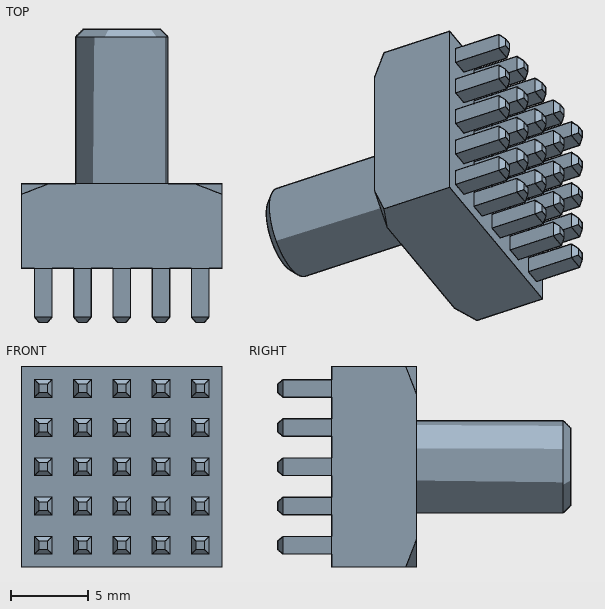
import cadquery as cq

body_width = 13.0
body_depth = 5.5

corner_cut_width = 1.8
corner_cut_depth = 0.7

stud_diameter = 6.0
stud_length = 10.0
stud_chamfer = 0.5

pin_count = 5
pin_pitch = 2.54
pin_width = 1.15
pin_length = 3.5
tip_width = 0.55
tip_length = 0.35


def make_corner_cutter(x_sign, z_sign):
    """Tetrahedron that removes one corner of the body on the stud side."""
    half_width = body_width / 2
    corner = cq.Vector(x_sign * half_width, body_depth, z_sign * half_width)
    along_x = corner - cq.Vector(x_sign * corner_cut_width, 0, 0)
    along_y = corner - cq.Vector(0, corner_cut_depth, 0)
    along_z = corner - cq.Vector(0, 0, z_sign * corner_cut_width)
    triangles = [
        (corner, along_x, along_y),
        (corner, along_y, along_z),
        (corner, along_z, along_x),
        (along_x, along_y, along_z),
    ]
    faces = [cq.Face.makeFromWires(cq.Wire.makePolygon(t, close=True)) for t in triangles]
    return cq.Solid.makeSolid(cq.Shell.makeShell(faces))


def make_body():
    """Square block with the four stud-side corners cut off."""
    body = cq.Workplane("XY").box(body_width, body_depth, body_width, centered=(True, False, True))
    for x_sign in (-1, 1):
        for z_sign in (-1, 1):
            body = body.cut(cq.Workplane(make_corner_cutter(x_sign, z_sign)))
    return body


def make_stud():
    """Cylinder along +Y with a chamfered free end."""
    stud_plane = cq.Workplane("XZ", origin=(0, body_depth, 0))
    stud = stud_plane.circle(stud_diameter / 2).extrude(-stud_length)
    return stud.faces(">Y").chamfer(stud_chamfer)


def make_pin():
    """Square pin along -Y, centred on the Y axis, ending in a blunt pyramid."""
    shank_length = pin_length - tip_length
    shank = cq.Workplane("XZ").rect(pin_width, pin_width).extrude(shank_length)
    tip = (
        cq.Workplane("XZ", origin=(0, -shank_length, 0))
        .rect(pin_width, pin_width)
        .workplane(offset=tip_length)
        .rect(tip_width, tip_width)
        .loft(ruled=True)
    )
    return shank.union(tip)


def make_pins():
    """All the pins of the grid."""
    pin = make_pin()
    offsets = [(i - (pin_count - 1) / 2) * pin_pitch for i in range(pin_count)]
    pins = cq.Workplane("XZ")
    for x in offsets:
        for z in offsets:
            pins = pins.add(pin.translate((x, 0, z)))
    return pins.combine()


result = make_body().union(make_stud()).union(make_pins()).solids()